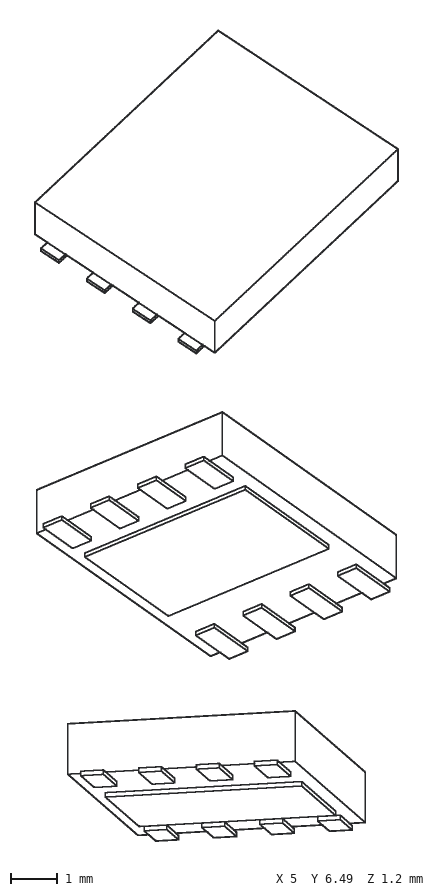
import cadquery as cq

total_length = 6.49
total_height = 1.2

housing_width = 5.0
housing_length = 6.075

sheet_thickness = 0.1
lead_width = 0.5
lead_pitch = 1.27
leads_per_side = 4
front_lead_length = 1.17
back_lead_length = 1.025

pad_length = 2.92
pad_gap_to_back_leads = 0.42
pad_width = lead_pitch * (leads_per_side - 1) + lead_width


def block(width, length, height, y_center, bottom, x_center=0.0):
    """Rectangular block standing on the height `bottom`."""
    return (
        cq.Workplane("XY")
        .box(width, length, height, centered=(True, True, False))
        .translate((x_center, y_center, bottom))
    )


def make_housing():
    """Plain rectangular body resting on the leads and pad."""
    return block(housing_width, housing_length, total_height - sheet_thickness, 0.0, sheet_thickness)


def make_thermal_pad():
    """Flat pad under the housing, set toward the back leads."""
    back_edge = total_length / 2 - back_lead_length - pad_gap_to_back_leads
    return block(pad_width, pad_length, sheet_thickness, back_edge - pad_length / 2, 0.0)


def make_lead(x_center, side, length):
    """Flat lead whose outer end is flush with the envelope; side is -1 (front) or +1 (back)."""
    y_center = side * (total_length - length) / 2
    return block(lead_width, length, sheet_thickness, y_center, 0.0, x_center)


housing = make_housing()
thermal_pad = make_thermal_pad()

leads = []
for side, length in ((-1, front_lead_length), (1, back_lead_length)):
    for index in range(leads_per_side):
        x_center = (index - (leads_per_side - 1) / 2) * lead_pitch
        leads.append(make_lead(x_center, side, length))

result = cq.Compound.makeCompound(
    [housing.val(), thermal_pad.val(), *[lead.val() for lead in leads]]
)